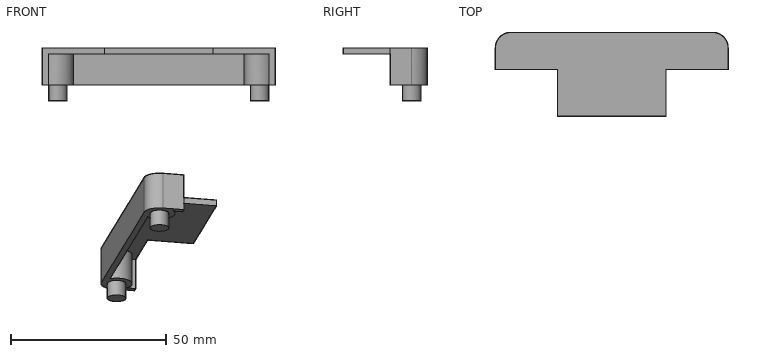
import cadquery as cq

length = 75.0
depth = 27.1
height = 17.0

body_depth = 12.0
body_height = 12.0
thickness = 2.0
corner_radius = 5.0

tab_width = 35.0

pin_diameter = 6.0

front_y = -body_depth
plate_bottom = body_height - thickness
pin_length = height - body_height
boss_x = length / 2 - corner_radius
boss_y = -corner_radius


def box(width, y_min, y_max, z_min, z_max):
    """Box centred on X between the given Y and Z limits."""
    return (
        cq.Workplane("XY", origin=(0, 0, z_min))
        .center(0, (y_min + y_max) / 2)
        .rect(width, y_max - y_min)
        .extrude(z_max - z_min)
    )


def cover():
    """Cover with rounded back corners, open at the front and underneath."""
    outer = box(length, front_y, 0, 0, body_height).edges("|Z and >Y").fillet(corner_radius)
    cavity = (
        box(length - 2 * thickness, front_y, -thickness, 0, plate_bottom)
        .edges("|Z and >Y")
        .fillet(corner_radius - thickness)
    )
    return outer.cut(cavity)


def tab():
    """Flat tab flush with the top plate."""
    return box(tab_width, -depth, front_y, plate_bottom, body_height)


def corner_cylinders(diameter, z_min, z_max):
    """Pair of upright cylinders concentric with the rounded corners."""
    return (
        cq.Workplane("XY", origin=(0, 0, z_min))
        .pushPoints([(-boss_x, boss_y), (boss_x, boss_y)])
        .circle(diameter / 2)
        .extrude(z_max - z_min)
    )


bosses = corner_cylinders(2 * corner_radius, 0, body_height)
pins = corner_cylinders(pin_diameter, -pin_length, body_height)

result = cover().union(tab()).union(bosses).union(pins).clean()